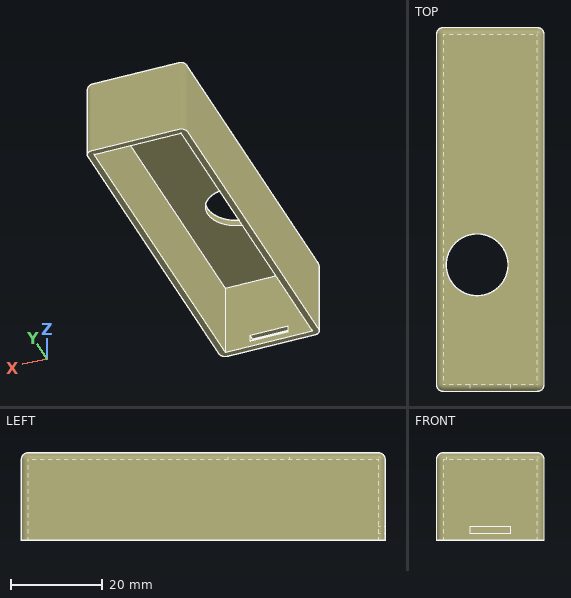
import cadquery as cq

width = 23.7
length = 80
height = 19.3
edge_radius = 1.5

wall = 1.5

opening_diameter = 13.5
opening_x = -2.9
opening_y = -12.2

slot_width = 9.0
slot_height = 1.5
slot_bottom = wall


def rounded_box():
    block = cq.Workplane("XY").box(width, length, height, centered=(True, True, False))
    return block.edges("|Z or >Z").fillet(edge_radius)


def cavity():
    return cq.Workplane("XY").box(
        width - 2 * wall, length - 2 * wall, height - wall, centered=(True, True, False)
    )


def roof_opening():
    return (
        cq.Workplane("XY", origin=(opening_x, opening_y, 0))
        .circle(opening_diameter / 2)
        .extrude(height)
    )


def end_slot():
    return (
        cq.Workplane("XY", origin=(0, -length / 2, slot_bottom))
        .box(slot_width, 2 * wall, slot_height, centered=(True, True, False))
    )


result = rounded_box().cut(cavity()).cut(roof_opening()).cut(end_slot())